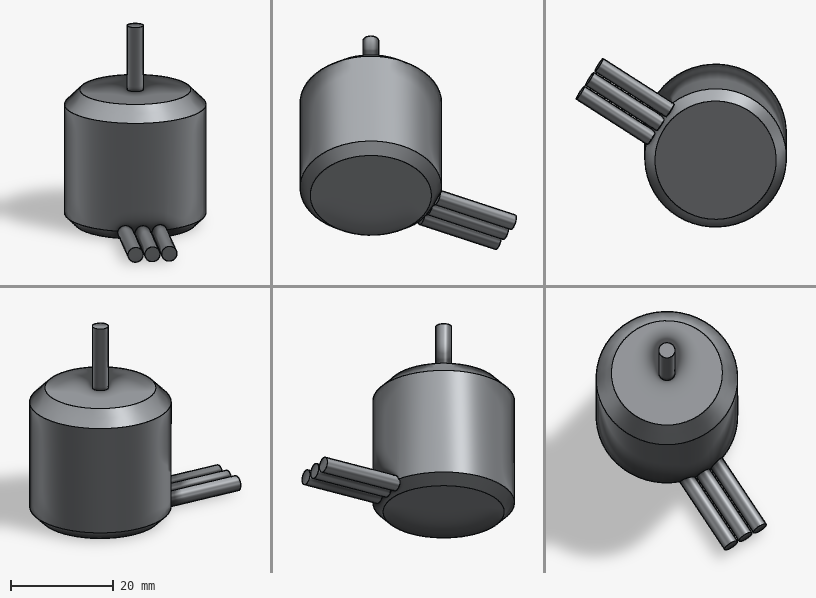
import cadquery as cq

body_diameter = 27.7
body_height = 27.0
top_chamfer = 3.0
bottom_chamfer = 2.0

shaft_diameter = 3.15
shaft_tip_height = 40.0

wire_diameter = 3.0
wire_axis_height = 1.7
wire_start = 12.7
wire_reach = 29.3
wire_pitch = 3.3
wire_row_shift = -0.2
wire_angle = -45.0


def make_can():
    can = cq.Workplane("XY").circle(body_diameter / 2).extrude(body_height)
    can = can.faces(">Z").edges().chamfer(top_chamfer)
    return can.faces("<Z").edges().chamfer(bottom_chamfer)


def make_shaft():
    shaft_length = shaft_tip_height - body_height
    return (
        cq.Workplane("XY", origin=(0, 0, body_height))
        .circle(shaft_diameter / 2)
        .extrude(shaft_length)
    )


def make_wire(sideways):
    """Wire laid along +X, then turned about the motor axis to the exit direction."""
    wire = (
        cq.Workplane("YZ", origin=(wire_start, 0, 0))
        .center(sideways, wire_axis_height)
        .circle(wire_diameter / 2)
        .extrude(wire_reach - wire_start)
    )
    return wire.rotate((0, 0, 0), (0, 0, 1), wire_angle)


result = make_can().union(make_shaft())
for position in (-1, 0, 1):
    result = result.union(make_wire(wire_row_shift + position * wire_pitch))